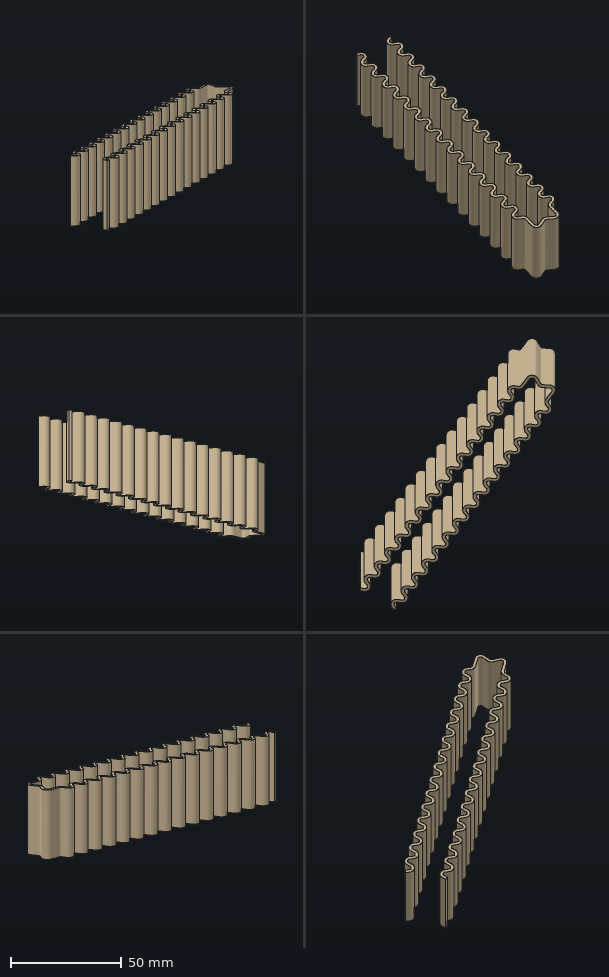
import cadquery as cq
import math

length = 138.3
width = 23.0
height = 33.0
thickness = 1.5

leg_depth = 5.5
crest_span = 119.0
pitch_count = 14
bend_radius = 2.0
end_stub = 1.8

notch_drop = 2.1

half_thickness = thickness / 2
crest_x = width / 2 - half_thickness
wall_x = width / 2 - leg_depth + half_thickness
top_y = length / 2 - half_thickness
peak_x = wall_x - bend_radius
half_pitch = crest_span / pitch_count / 2


def link_between(across, along):
    """Turn and length of the straight tangent joining two opposite bends.

    across and along are the offsets between the bends' crests, measured
    square to the crest tangents and parallel to them. The turn is the angle
    in degrees from the crest tangents to the straight.
    """
    center_offset = across - 2 * bend_radius
    center_distance = math.hypot(center_offset, along)
    straight = math.sqrt(center_distance**2 - (2 * bend_radius) ** 2)
    center_angle = math.atan2(center_offset, along)
    turn = center_angle + math.asin(2 * bend_radius / center_distance)
    return math.degrees(turn), straight


wave_turn, wave_link = link_between(crest_x - wall_x, half_pitch)
notch_turn, notch_link = link_between(notch_drop, peak_x)

tail_angle = math.radians(wave_turn)
tail_reach = (bend_radius + half_thickness) * math.sin(tail_angle) + end_stub * math.cos(tail_angle)
last_bend_y = -length / 2 + tail_reach
first_bend_y = last_bend_y + crest_span + 2 * half_pitch
wall_length = top_y - bend_radius - first_bend_y

strip = [(notch_turn, notch_link), (-(notch_turn + 90), wall_length), (wave_turn, wave_link)]
for _ in range(pitch_count):
    strip += [(-2 * wave_turn, wave_link), (2 * wave_turn, wave_link)]
strip += [(-2 * wave_turn, wave_link), (2 * wave_turn, end_stub)]


def step(point, heading, distance):
    """Point reached by moving a distance along a heading in degrees."""
    angle = math.radians(heading)
    return (point[0] + distance * math.cos(angle), point[1] + distance * math.sin(angle))


def strip_centerline():
    """Smooth path of arcs and lines from the notch middle to the leg's tail."""
    point = (0, top_y - notch_drop)
    heading = 0
    path = cq.Workplane("XY").moveTo(*point)
    for turn, straight in strip:
        side = math.copysign(90, turn)
        center = step(point, heading + side, bend_radius)
        middle = step(center, heading - side + turn / 2, bend_radius)
        point = step(center, heading - side + turn, bend_radius)
        heading += turn
        path = path.threePointArc(middle, point)
        point = step(point, heading, straight)
        path = path.lineTo(*point)
    return path


def half_clip():
    """Strip section swept along the +X half of the centreline."""
    section = cq.Workplane("YZ").center(top_y - notch_drop, 0).rect(thickness, height)
    return section.sweep(strip_centerline())


right_half = half_clip()
result = right_half.union(right_half.mirror("YZ")).solids().first()